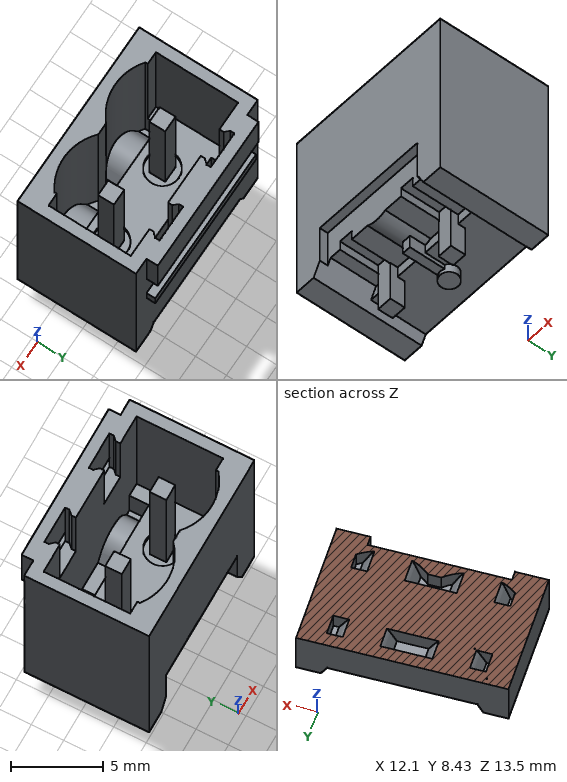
import cadquery as cq
import math


body_width = 12.05
body_depth = 7.7
body_height = 12.0

cavity_width = 10.62
cavity_front = 1.55
cavity_back = 6.88
cavity_floor = 3.6
lobe_radius = 3.23
lobe_center_y = 3.95

pin_pitch = 5.08
pin_size = 1.03
pin_y = 3.8
pin_front = pin_y - pin_size / 2
pin_back = pin_y + pin_size / 2
pin_top = 11.1
pin_bottom = -1.5
pin_x_positions = (-pin_pitch / 2, pin_pitch / 2)
pin_recess_diameter = 2.1
pin_recess_depth = 0.27

pocket_width = 8.99
pocket_floor = 1.78
front_pocket_back = 2.28
back_pocket_front = 5.68
hump_radius = 1.46
hump_side_run = 0.38
hump_side_angle = math.radians(60)

keyway_floor = 7.83
keyway_neck_width = 1.84
keyway_back_width = 2.35
keyway_flare_start = 7.15
keyway_flare_end = 7.42

rim_width = 9.98
rim_depth = 0.73
rim_height = 3.09
ledge_depth = 0.57
ledge_bottom = 5.98
ledge_height = 0.75

ceiling_height = 1.38
back_underside = 0.62
step_y = pin_y
notch_bottom_width = 9.21
notch_top_width = 7.67
recess_width = 8.15
recess_depth = 0.57
recess_top = 3.58
channel_width = 0.99
channel_top = 2.04
channel_x = 2.558
web_bulge_width = 1.48
web_bulge_drop = 0.19
peg_diameter = 1.28
peg_y = (step_y + body_depth) / 2
rib_width = 0.6
rib_bottom = 0.28
rib_front = 2.7


def block(width, y_front, y_back, z_bottom, z_top, x_center=0):
    """Box centred on x_center, given by its front, back, bottom and top faces."""
    return (
        cq.Workplane("XY")
        .box(width, y_back - y_front, z_top - z_bottom, centered=(True, False, False))
        .translate((x_center, y_front, z_bottom))
    )


def disc(diameter, x, y, z_bottom, z_top):
    """Upright cylinder between two heights."""
    return (
        cq.Workplane("XY", origin=(x, y, z_bottom))
        .circle(diameter / 2)
        .extrude(z_top - z_bottom)
    )


def front_profile(y_front):
    """Sketch plane parallel to the front face; a negative extrusion runs towards +Y."""
    return cq.Workplane("XZ", origin=(0, y_front, 0))


def lobes(y_front, y_back, z_bottom):
    """Round bulges of the cavity, trimmed to the pocket width and the given depth."""
    trim = block(pocket_width, y_front, y_back, z_bottom, body_height)
    pair = cq.Workplane("XY")
    for x in pin_x_positions:
        lobe = disc(2 * lobe_radius, x, lobe_center_y, z_bottom, body_height)
        pair = pair.add(lobe)
    return pair.combine().intersect(trim)


def hump(x, y_front, y_back):
    """Round-topped ridge along Y, with straight flanks tangent to its arc."""
    arc_half_width = hump_radius * math.sin(hump_side_angle)
    flank_height = hump_side_run * math.tan(hump_side_angle)
    crown_height = flank_height + hump_radius * (1 - math.cos(hump_side_angle))
    base_half_width = arc_half_width + hump_side_run
    shoulder_z = pocket_floor + flank_height
    return (
        front_profile(y_front)
        .moveTo(x - base_half_width, ceiling_height)
        .lineTo(x - base_half_width, pocket_floor)
        .lineTo(x - arc_half_width, shoulder_z)
        .threePointArc((x, pocket_floor + crown_height), (x + arc_half_width, shoulder_z))
        .lineTo(x + base_half_width, pocket_floor)
        .lineTo(x + base_half_width, ceiling_height)
        .close()
        .extrude(y_front - y_back)
    )


def pocket_cut():
    """Both floor pockets, with the humps left standing."""
    front = block(pocket_width, cavity_front, front_pocket_back, pocket_floor, body_height)
    front = front.union(lobes(0, front_pocket_back, pocket_floor))
    back = block(pocket_width, back_pocket_front, cavity_back, pocket_floor, body_height)
    pockets = front.union(back)
    for x in pin_x_positions:
        pockets = pockets.cut(hump(x, 0, cavity_back))
    return pockets


def keyway(x):
    """Dovetail slot through the back wall, reaching the rim above it."""
    neck = keyway_neck_width / 2
    back = keyway_back_width / 2
    half = [
        (neck, cavity_back),
        (neck, keyway_flare_start),
        (back, keyway_flare_end),
        (back, body_depth),
    ]
    mirrored = [(-dx, y) for dx, y in reversed(half)]
    return (
        cq.Workplane("XY", origin=(x, 0, keyway_floor))
        .polyline(half + mirrored)
        .close()
        .extrude(body_height - keyway_floor)
    )


def notch(y_front, y_back, height):
    """Slope-sided opening under the body, cut off at the given height."""
    profile = [
        (-notch_bottom_width / 2, 0),
        (notch_bottom_width / 2, 0),
        (notch_top_width / 2, ceiling_height),
        (-notch_top_width / 2, ceiling_height),
    ]
    opening = front_profile(y_front).polyline(profile).close().extrude(y_front - y_back)
    return opening.intersect(block(body_width, y_front, y_back, 0, height))


def web_bulge():
    """Shallow rounded swelling along the middle of the underside."""
    half = web_bulge_width / 2
    return (
        front_profile(recess_depth)
        .moveTo(-half, ceiling_height)
        .threePointArc((0, ceiling_height - web_bulge_drop), (half, ceiling_height))
        .close()
        .extrude(recess_depth - step_y)
    )


result = block(body_width, 0, body_depth, 0, body_height)
result = result.union(
    block(rim_width, body_depth, body_depth + rim_depth, body_height - rim_height, body_height)
)
result = result.union(
    block(rim_width, body_depth, body_depth + ledge_depth, ledge_bottom, ledge_bottom + ledge_height)
)

result = result.cut(block(cavity_width, cavity_front, cavity_back, cavity_floor, body_height))
result = result.cut(lobes(0, front_pocket_back, cavity_floor))
result = result.cut(pocket_cut())

result = result.cut(notch(0, step_y, ceiling_height))
result = result.cut(notch(step_y, body_depth, back_underside))
result = result.cut(block(recess_width, 0, recess_depth, 0, recess_top))
result = result.union(web_bulge())

for x in pin_x_positions:
    result = result.cut(keyway(x))
    floor_recess = disc(pin_recess_diameter, x, pin_y, cavity_floor - pin_recess_depth, cavity_floor)
    result = result.cut(floor_recess)
    channel_center = math.copysign(channel_x, x)
    result = result.cut(block(channel_width, 0, step_y, 0, channel_top, channel_center))
    result = result.union(block(pin_size, pin_front, pin_back, pin_bottom, pin_top, x))

result = result.union(disc(peg_diameter, 0, peg_y, 0, back_underside))
result = result.union(block(rib_width, rib_front, peg_y, rib_bottom, ceiling_height))